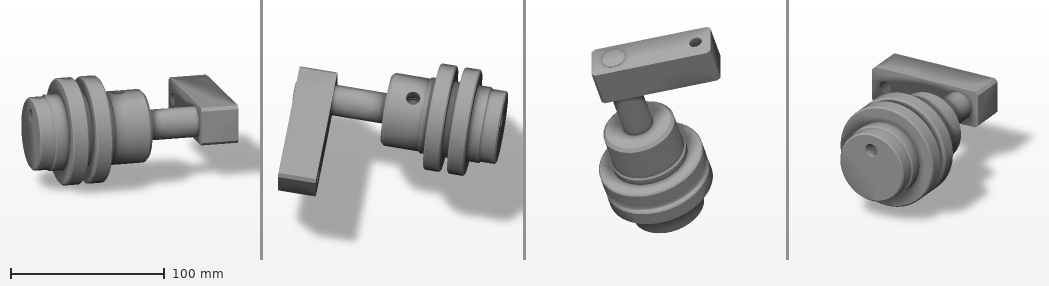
import cadquery as cq


total_length = 137.0
pin_projection = 1.0
thread_start = 10.0
thread_end = 51.0
housing_length = 76.0
arm_thickness = 25.0
arm_back = total_length - pin_projection
arm_front = arm_back - arm_thickness

housing_diameter = 48.0
thread_diameter = 50.0
top_chamfer = 2.0
edge_chamfer = 1.0
thread_chamfer = (thread_diameter - housing_diameter) / 2

port_diameter = 9.2
port_bottom_diameter = 8.2
port_step_depth = 10.0
port_depth = 12.3
side_port_y = 58.5
end_port_z = 12.5

nut_diameter = 70.0
nut_width = 11.0
nut_starts = (19.0, 35.0)

rod_diameter = 20.0
pin_diameter = 16.0
pin_chamfer = 0.7

arm_length = 80.0
arm_height = 25.3
arm_overhang = 15.0
arm_chamfer = 2.0
arm_hole_diameter = 8.5
arm_hole_edge_distance = 10.0
arm_left = arm_overhang - arm_length
arm_hole_x = arm_left + arm_hole_edge_distance


def axial_cylinder(diameter, start, end):
    """Cylinder about the Y axis, from y = start to y = end."""
    base = cq.Workplane("XZ", origin=(0, start, 0))
    return base.circle(diameter / 2).extrude(start - end)


def stepped_port(mouth):
    """Cutting tool for a blind port, narrower at its bottom; the mouth plane's normal points outward."""
    wide_bore = mouth.circle(port_diameter / 2).extrude(-port_step_depth)
    narrow_bore = mouth.circle(port_bottom_diameter / 2).extrude(-port_depth)
    return wide_bore.union(narrow_bore)


def make_housing():
    """Cylinder with a thicker threaded stretch, one port in its side and one in its end."""
    barrel = axial_cylinder(housing_diameter, 0, housing_length)
    barrel = barrel.faces("<Y").chamfer(edge_chamfer).faces(">Y").chamfer(top_chamfer)
    thread = axial_cylinder(thread_diameter, thread_start, thread_end)
    thread = thread.faces("<Y or >Y").chamfer(thread_chamfer)
    side_port = stepped_port(cq.Workplane("XY", origin=(0, side_port_y, housing_diameter / 2)))
    end_port = stepped_port(cq.Workplane("XZ", origin=(0, 0, end_port_z)))
    return barrel.union(thread).cut(side_port).cut(end_port)


def make_nut(start):
    """Ring nut on the threaded stretch, with both outer edges chamfered."""
    disc = axial_cylinder(nut_diameter, start, start + nut_width)
    disc = disc.faces("<Y or >Y").chamfer(edge_chamfer)
    return disc.cut(axial_cylinder(thread_diameter, start, start + nut_width))


def make_rod():
    """Plain rod between the housing and the arm."""
    return axial_cylinder(rod_diameter, housing_length, arm_front)


def make_pin():
    """Pin through the arm onto the rod end, standing slightly proud of the arm."""
    return axial_cylinder(pin_diameter, arm_front, total_length).faces(">Y").chamfer(pin_chamfer)


def make_arm():
    """Bar with chamfered end edges, a hole near its free end and a seat for the pin."""
    center = (arm_left + arm_length / 2, arm_front + arm_thickness / 2, 0)
    bar = cq.Workplane(origin=center).box(arm_length, arm_thickness, arm_height)
    bar = bar.edges("|Y").chamfer(arm_chamfer)
    hole = axial_cylinder(arm_hole_diameter, arm_front, arm_back).translate((arm_hole_x, 0, 0))
    pin_seat = axial_cylinder(pin_diameter, arm_front, arm_back)
    return bar.cut(hole).cut(pin_seat)


housing = make_housing()
nuts = [make_nut(start) for start in nut_starts]
rod = make_rod()
pin = make_pin()
arm = make_arm()

result = cq.Compound.makeCompound(
    [housing.val(), *[nut.val() for nut in nuts], rod.val(), pin.val(), arm.val()]
)